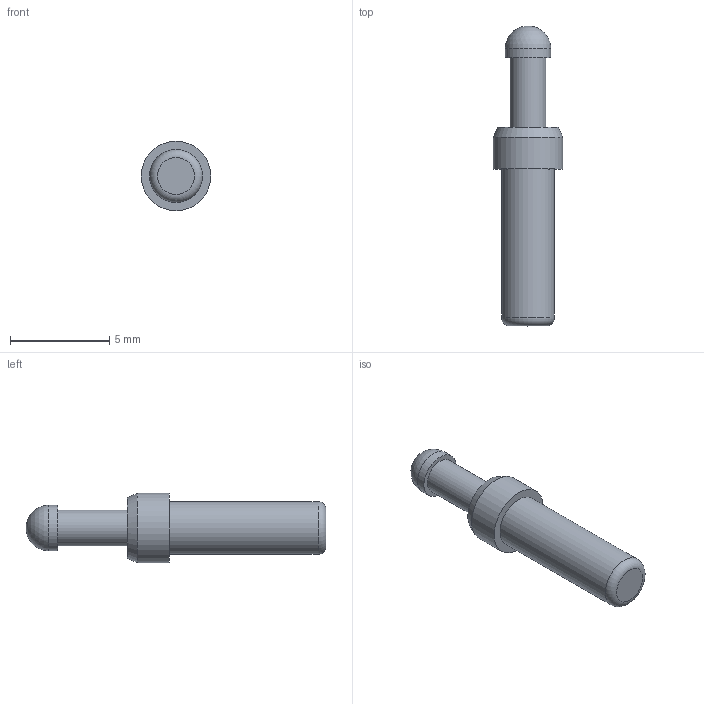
import cadquery as cq

body_diameter = 2.66
body_length = 7.9
body_end_fillet = 0.4

collar_diameter = 3.5
collar_length = 2.1
collar_bevel_length = 0.5
collar_bevel_depth = 0.23

neck_diameter = 1.8
neck_length = 3.5

head_diameter = 2.3
head_rim_length = 0.45
head_radius = head_diameter / 2

collar_front = collar_length
head_back = collar_front + neck_length
dome_start = head_back + head_rim_length


def cylinder(diameter, start, length):
    """Cylinder along +Y from the given Y position."""
    plane = cq.Workplane("XZ", origin=(0, start, 0))
    return plane.circle(diameter / 2).extrude(-length)


def make_body():
    body = cylinder(body_diameter, -body_length, body_length)
    return body.faces("<Y").edges().fillet(body_end_fillet)


def make_collar():
    collar = cylinder(collar_diameter, 0, collar_length)
    collar_radius = collar_diameter / 2
    bevel_cut = (
        cq.Workplane("XY")
        .moveTo(collar_radius, collar_front - collar_bevel_length)
        .lineTo(collar_radius, collar_front)
        .lineTo(collar_radius - collar_bevel_depth, collar_front)
        .close()
        .revolve(360, (0, 0, 0), (0, 1, 0))
    )
    return collar.cut(bevel_cut)


def make_head():
    """Short cylindrical rim closed by a hemispherical dome."""
    return (
        cq.Workplane("XY")
        .moveTo(0, head_back)
        .lineTo(head_radius, head_back)
        .lineTo(head_radius, dome_start)
        .radiusArc((0, dome_start + head_radius), -head_radius)
        .close()
        .revolve(360, (0, 0, 0), (0, 1, 0))
    )


neck = cylinder(neck_diameter, collar_front, neck_length)

result = make_body().union(make_collar()).union(neck).union(make_head())